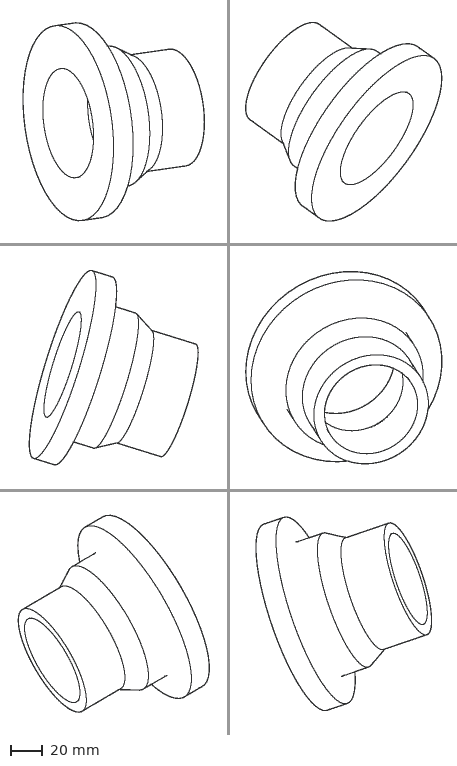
import cadquery as cq
import math

flange_radius = 62.5
flange_thickness = 14.0
total_length = 78.0

neck_radius = 45.0
pipe_radius = 37.5
pipe_length = 30.0
taper_angle = 30.0
root_fillet = 3.0

flange_bore_radius = 35.0
pipe_bore_radius = 30.5
flange_bore_depth = 32.0

taper_end = total_length - pipe_length
taper_length = (neck_radius - pipe_radius) / math.tan(math.radians(taper_angle))
taper_start = taper_end - taper_length
bore_taper_length = (flange_bore_radius - pipe_bore_radius) / math.tan(math.radians(taper_angle))
bore_taper_end = flange_bore_depth + bore_taper_length


def revolve_about_y(profile):
    """Turn a closed (radius, axial distance) profile about the Y axis."""
    return profile.close().revolve(360, (0, 0, 0), (0, 1, 0))


def outer_body():
    """Flange, neck, conical reducer and pipe end as one solid."""
    profile = (
        cq.Workplane("XY")
        .lineTo(flange_radius, 0)
        .lineTo(flange_radius, flange_thickness)
        .lineTo(neck_radius + root_fillet, flange_thickness)
        .radiusArc((neck_radius, flange_thickness + root_fillet), root_fillet)
        .lineTo(neck_radius, taper_start)
        .lineTo(pipe_radius, taper_end)
        .lineTo(pipe_radius, total_length)
        .lineTo(0, total_length)
    )
    return revolve_about_y(profile)


def stepped_bore():
    """Through bore that narrows conically from the flange to the pipe end."""
    profile = (
        cq.Workplane("XY")
        .lineTo(flange_bore_radius, 0)
        .lineTo(flange_bore_radius, flange_bore_depth)
        .lineTo(pipe_bore_radius, bore_taper_end)
        .lineTo(pipe_bore_radius, total_length)
        .lineTo(0, total_length)
    )
    return revolve_about_y(profile)


result = outer_body().cut(stepped_bore())